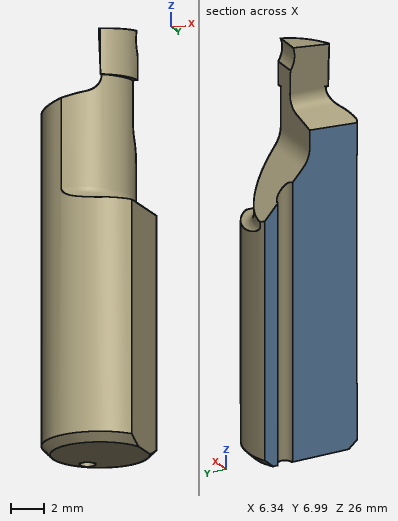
import cadquery as cq
import math

total_length = 26.0
shank_radius = 3.497
shank_flat_x = 2.847
end_chamfer = 0.52

neck_radius = 3.29
neck_center_x = -1.2
neck_root_z = 15.8
neck_root_radius = 0.78

tip_x = 2.4
tip_mid = (2.24, -0.975)
tip_end = (1.05, -2.57)
tip_base_z = 22.98
tip_top_slope = 0.135

rake_y = 0.1
runout_start_z = 19.68
runout_angle = 48.4
runout_radius = 1.82

groove_start_z = 24.52
groove_mid = (-0.15, 25.35)
groove_top_y = -0.05

shoulder_left_z = 21.09
shoulder_angle = 13.3
wall_top_x = 0.793
wall_lean = 2.5
relief_radius = 1.0
relief_side_shift = 0.044
relief_drop = 0.057

coolant_diameter = 1.0
coolant_center = (-1.48, 1.77)

margin = 2.6
cut_span = 4 * shank_radius


def extrude_along(points, vector):
    """Extrude a closed polygon along any direction, square to it or not."""
    wire = cq.Wire.makePolygon([cq.Vector(*p) for p in points], close=True)
    return cq.Workplane(obj=cq.Solid.extrudeLinear(wire, [], cq.Vector(*vector)))


def make_shank():
    shank = cq.Workplane("XY").circle(shank_radius).extrude(total_length)
    shank = shank.faces("<Z").chamfer(end_chamfer)
    flat = cq.Workplane("XY").box(cut_span, cut_span, total_length, centered=(False, True, False))
    return shank.cut(flat.translate((shank_flat_x, 0, 0)))


def make_neck_cutter():
    """Ring outside the neck, with its lower inside edge rounded at the shoulder."""
    outer_radius = neck_radius + neck_root_radius
    arc_offset = neck_root_radius * (1 - math.sqrt(0.5))
    profile = (
        cq.Workplane("XZ")
        .moveTo(neck_radius, total_length + margin)
        .lineTo(neck_radius, neck_root_z)
        .threePointArc(
            (neck_radius + arc_offset, neck_root_z - neck_root_radius + arc_offset),
            (outer_radius, neck_root_z - neck_root_radius),
        )
        .lineTo(outer_radius + margin, neck_root_z - neck_root_radius)
        .lineTo(outer_radius + margin, total_length + margin)
        .close()
    )
    return profile.revolve(360, (0, 0, 0), (0, 1, 0)).translate((neck_center_x, 0, 0))


def make_tip():
    """Block with a curved clearance flank and a base falling toward -Y."""
    tip = (
        cq.Workplane("XY")
        .moveTo(0, rake_y)
        .lineTo(tip_x, rake_y)
        .threePointArc(tip_mid, tip_end)
        .lineTo(0, tip_end[1])
        .close()
        .extrude(total_length)
    )
    base_front_z = tip_base_z - relief_drop * cut_span
    below_base = extrude_along(
        [
            (-margin, rake_y, 0),
            (-margin, rake_y, tip_base_z),
            (-margin, rake_y - cut_span, base_front_z),
            (-margin, rake_y - cut_span, 0),
        ],
        (cut_span, 0, 0),
    )
    return tip.cut(below_base)


def make_runout_cutter():
    runout_end_y = rake_y + cut_span
    runout_end_z = runout_start_z - cut_span * math.tan(math.radians(runout_angle))
    cutter = extrude_along(
        [
            (-cut_span / 2, rake_y, total_length + margin),
            (-cut_span / 2, rake_y, runout_start_z),
            (-cut_span / 2, runout_end_y, runout_end_z),
            (-cut_span / 2, runout_end_y, total_length + margin),
        ],
        (cut_span, 0, 0),
    )
    corner = cq.NearestToPointSelector((0, rake_y, runout_start_z))
    return cutter.edges(corner).fillet(runout_radius)


def make_groove_cutter():
    return (
        cq.Workplane("YZ", origin=(-cut_span / 2, 0, 0))
        .moveTo(rake_y, groove_start_z)
        .threePointArc(groove_mid, (groove_top_y, total_length))
        .lineTo(groove_top_y, total_length + margin)
        .lineTo(rake_y + margin, total_length + margin)
        .lineTo(rake_y + margin, groove_start_z)
        .close()
        .extrude(cut_span)
    )


def make_relief_cutter():
    """Shoulder and wall swept forward from the rake face, drifting to +X and down."""
    shoulder_slope = math.tan(math.radians(shoulder_angle))
    wall_slope = math.tan(math.radians(wall_lean))
    wall_foot_x = (
        wall_top_x + wall_slope * (total_length - shoulder_left_z - shoulder_slope * shank_radius)
    ) / (1 + wall_slope * shoulder_slope)
    wall_foot_z = shoulder_left_z + shoulder_slope * (wall_foot_x + shank_radius)
    left_x = -shank_radius - margin
    left_z = shoulder_left_z - shoulder_slope * margin
    wall_upper_x = wall_top_x - wall_slope * margin
    start = cq.Vector(-relief_side_shift, 1, relief_drop) * margin
    sweep = start * (-(cut_span + margin) / margin)
    cutter = extrude_along(
        [
            (left_x, rake_y, left_z),
            (wall_foot_x, rake_y, wall_foot_z),
            (wall_upper_x, rake_y, total_length + margin),
            (left_x, rake_y, total_length + margin),
        ],
        sweep.toTuple(),
    )
    corner_middle = cq.Vector(wall_foot_x, rake_y, wall_foot_z) + sweep * 0.5
    corner = cq.NearestToPointSelector(corner_middle.toTuple())
    return cutter.edges(corner).fillet(relief_radius).translate(start)


def make_top_cutter():
    """Tip end clearance, falling toward -Y from the cutting edge."""
    front_y = groove_top_y - cut_span
    front_z = total_length - tip_top_slope * cut_span
    return extrude_along(
        [
            (-cut_span / 2, groove_top_y, total_length),
            (-cut_span / 2, front_y, front_z),
            (-cut_span / 2, front_y, total_length + margin),
            (-cut_span / 2, groove_top_y, total_length + margin),
        ],
        (cut_span, 0, 0),
    )


def make_coolant_hole():
    return cq.Workplane("XY").center(*coolant_center).circle(coolant_diameter / 2).extrude(total_length)


result = (
    make_shank()
    .cut(make_neck_cutter())
    .union(make_tip())
    .cut(make_runout_cutter())
    .cut(make_groove_cutter())
    .cut(make_relief_cutter())
    .cut(make_top_cutter())
    .cut(make_coolant_hole())
)